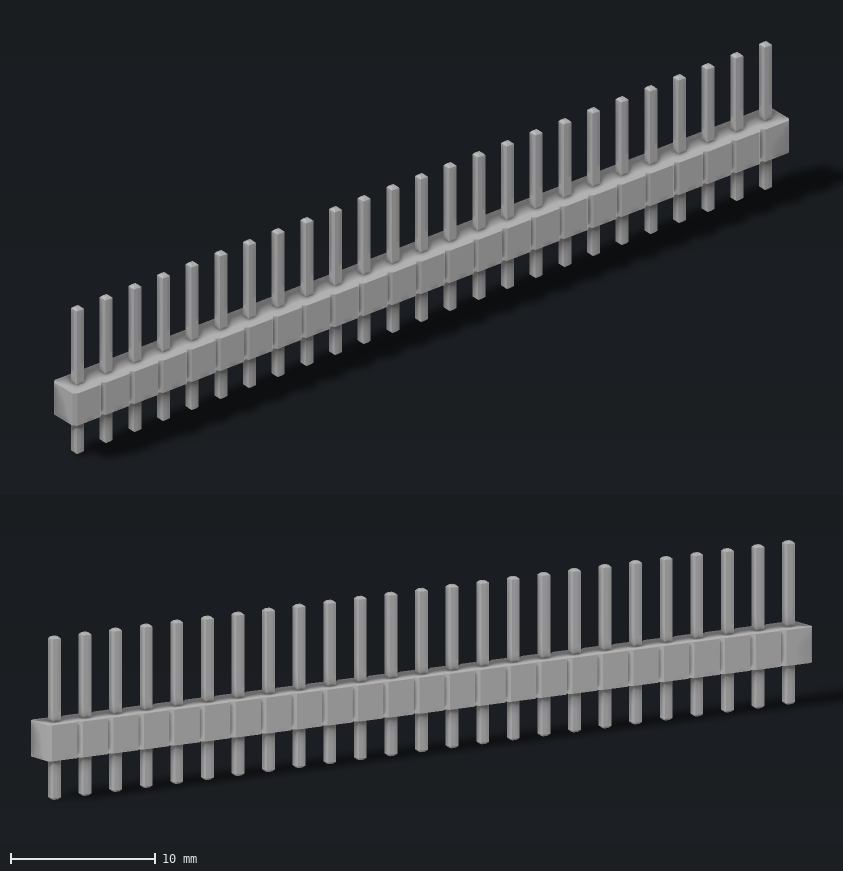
import cadquery as cq

PIN_COUNT = 25
PITCH = 2.54

BODY_WIDTH = 2.54
BODY_HEIGHT = 2.54
BODY_CHAMFER = 0.25

PIN_WIDTH = 0.64
PIN_ABOVE_BODY = 6.0
PIN_BELOW_BODY = 3.0
PIN_TIP_CHAMFER = 0.15

ROW_LENGTH = PIN_COUNT * PITCH
PIN_LENGTH = PIN_BELOW_BODY + BODY_HEIGHT + PIN_ABOVE_BODY
PIN_POSITIONS = [(0, (i - (PIN_COUNT - 1) / 2) * PITCH) for i in range(PIN_COUNT)]
NOTCH_POSITIONS = [-ROW_LENGTH / 2 + i * PITCH for i in range(1, PIN_COUNT)]


def body_outline():
    """Plan outline of the insulator, counter-clockwise, with a V notch between neighbouring pins."""
    side = BODY_WIDTH / 2
    inset = side - BODY_CHAMFER
    end = ROW_LENGTH / 2
    right_side = [(inset, -end), (side, -end + BODY_CHAMFER)]
    for y in NOTCH_POSITIONS:
        right_side += [(side, y - BODY_CHAMFER), (inset, y), (side, y + BODY_CHAMFER)]
    right_side += [(side, end - BODY_CHAMFER), (inset, end)]
    left_side = [(-x, -y) for x, y in right_side]
    return right_side + left_side


def make_body():
    return cq.Workplane("XY").polyline(body_outline()).close().extrude(BODY_HEIGHT)


def make_pin(position):
    """Square pin with all four edges of both tips chamfered."""
    x, y = position
    pin = cq.Workplane("XY").box(PIN_WIDTH, PIN_WIDTH, PIN_LENGTH, centered=(True, True, False))
    pin = pin.faces("<Z or >Z").chamfer(PIN_TIP_CHAMFER)
    return pin.translate((x, y, -PIN_BELOW_BODY))


result = make_body()
for pin_position in PIN_POSITIONS:
    result = result.union(make_pin(pin_position))